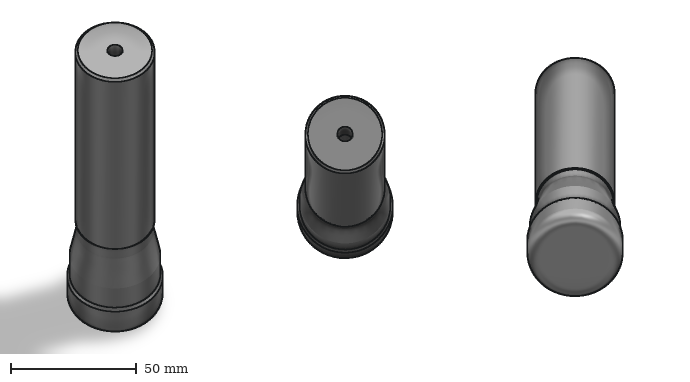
import cadquery as cq
import math

total_height = 150.6

cap_diameter = 38.1
cap_height = 16.7
cap_bottom_fillet = 5.4
cap_rim_drop = 1.4

base_diameter = 36.1
base_top = 28.2
neck_diameter = 30.7
taper_top = 43.1
shaft_diameter = 31.6
neck_top = 48.8
shaft_chamfer = 1.0

hole_diameter = 6.0
hole_depth = 15.0
drill_point_angle = 118.0

cap_radius = cap_diameter / 2
base_radius = base_diameter / 2
neck_radius = neck_diameter / 2
shaft_radius = shaft_diameter / 2
hole_radius = hole_diameter / 2


def make_cap():
    """Solid round cap: filleted underneath, its rim bevelled in to meet the stem base."""
    profile = (
        cq.Workplane("XZ")
        .lineTo(cap_radius, 0)
        .lineTo(cap_radius, cap_height - cap_rim_drop)
        .lineTo(base_radius, cap_height)
        .lineTo(0, cap_height)
        .close()
    )
    cap = profile.revolve(360, (0, 0), (0, 1))
    return cap.faces("<Z").edges().fillet(cap_bottom_fillet)


def make_drilled_hole():
    """Cutter for the blind hole, with a conical drill point at its floor."""
    point_depth = hole_radius / math.tan(math.radians(drill_point_angle / 2))
    floor = total_height - hole_depth
    profile = (
        cq.Workplane("XZ")
        .moveTo(0, total_height)
        .lineTo(hole_radius, total_height)
        .lineTo(hole_radius, floor)
        .lineTo(0, floor - point_depth)
        .close()
    )
    return profile.revolve(360, (0, 0), (0, 1))


def make_stem():
    """Turned stem standing on the cap, with a chamfered and drilled upper end."""
    lip_bevel = shaft_radius - neck_radius
    profile = (
        cq.Workplane("XZ")
        .moveTo(0, cap_height)
        .lineTo(base_radius, cap_height)
        .lineTo(base_radius, base_top)
        .lineTo(neck_radius, taper_top)
        .lineTo(neck_radius, neck_top)
        .lineTo(shaft_radius, neck_top + lip_bevel)
        .lineTo(shaft_radius, total_height)
        .lineTo(0, total_height)
        .close()
    )
    stem = profile.revolve(360, (0, 0), (0, 1))
    stem = stem.faces(">Z").edges().chamfer(shaft_chamfer)
    return stem.cut(make_drilled_hole())


cap = make_cap()
stem = make_stem()

result = cq.Compound.makeCompound([cap.val(), stem.val()])